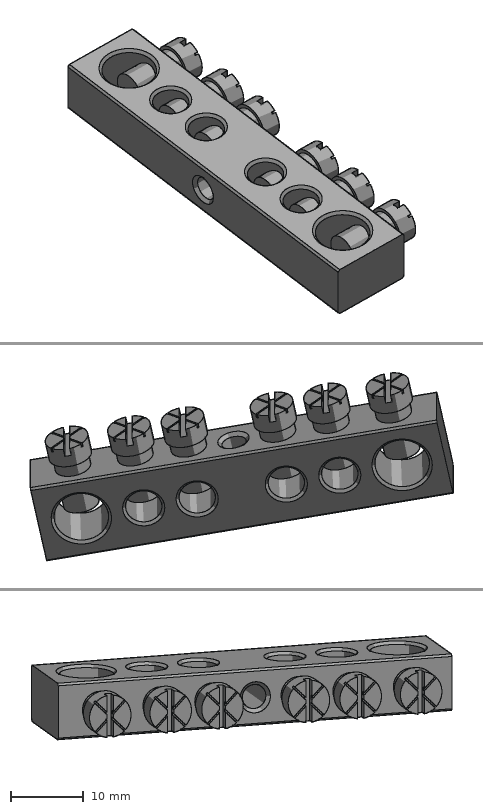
import cadquery as cq

block_length = 57.0
block_depth = 12.0
block_height = 8.0
block_edge_chamfer = 0.3

outer_wire_x = 22.5
middle_wire_x = 13.75
inner_wire_x = 6.25
large_wire_diameter = 7.5
small_wire_diameter = 5.0
wire_hole_chamfer = 0.4
large_wire_positions = [-outer_wire_x, outer_wire_x]
small_wire_positions = [-middle_wire_x, -inner_wire_x, inner_wire_x, middle_wire_x]

mounting_diameter = 3.4
mounting_chamfer = 0.5

screw_overhang = 4.7
screw_tip_y = 0.0
shank_diameter = 5.0
head_diameter = 6.0
head_height = 2.8
screw_top_y = block_depth / 2 + screw_overhang
head_base_y = screw_top_y - head_height

slot_width = 0.9
slot_depth = 1.1
groove_width = 0.25
groove_depth = 0.55
groove_angles = [-45, 45]


def cylinder_along_y(diameter, start_y, end_y):
    """Cylinder on the Y axis, from start_y to end_y."""
    return (
        cq.Workplane("XZ", origin=(0, start_y, 0))
        .circle(diameter / 2)
        .extrude(start_y - end_y)
    )


def countersunk_hole(diameter, length, chamfer):
    """Cutter along Z for a through hole that is chamfered at both ends."""
    bore_radius = diameter / 2
    mouth_radius = bore_radius + chamfer
    half_length = length / 2
    return (
        cq.Workplane("XZ")
        .moveTo(0, -half_length)
        .lineTo(mouth_radius, -half_length)
        .lineTo(bore_radius, -half_length + chamfer)
        .lineTo(bore_radius, half_length - chamfer)
        .lineTo(mouth_radius, half_length)
        .lineTo(0, half_length)
        .close()
        .revolve(360, (0, 0, 0), (0, 1, 0))
    )


def make_block():
    """Bar with wire holes, screw holes and the mounting hole."""
    block = cq.Workplane("XY").box(block_length, block_depth, block_height)
    block = block.edges("|X").chamfer(block_edge_chamfer)

    large_wire_hole = countersunk_hole(large_wire_diameter, block_height, wire_hole_chamfer)
    for x in large_wire_positions:
        block = block.cut(large_wire_hole.translate((x, 0, 0)))

    small_wire_hole = countersunk_hole(small_wire_diameter, block_height, wire_hole_chamfer)
    for x in small_wire_positions:
        block = block.cut(small_wire_hole.translate((x, 0, 0)))

    screw_hole = cylinder_along_y(shank_diameter, screw_tip_y, block_depth / 2)
    for x in large_wire_positions + small_wire_positions:
        block = block.cut(screw_hole.translate((x, 0, 0)))

    mounting_hole = countersunk_hole(mounting_diameter, block_depth, mounting_chamfer)
    return block.cut(mounting_hole.rotate((0, 0, 0), (1, 0, 0), 90))


def head_groove(width, depth):
    """Cutter for a groove along Z, across the whole end face of the screw head."""
    return (
        cq.Workplane("XY")
        .box(width, depth, 2 * head_diameter)
        .translate((0, screw_top_y - depth / 2, 0))
    )


def make_screw(x):
    """Clamping screw along Y, with its head behind the block."""
    shank = cylinder_along_y(shank_diameter, screw_tip_y, head_base_y)
    head = cylinder_along_y(head_diameter, head_base_y, screw_top_y)
    screw = shank.union(head).cut(head_groove(slot_width, slot_depth))
    for angle in groove_angles:
        groove = head_groove(groove_width, groove_depth)
        screw = screw.cut(groove.rotate((0, 0, 0), (0, 1, 0), angle))
    return screw.translate((x, 0, 0))


block = make_block()
screws = [make_screw(x) for x in large_wire_positions + small_wire_positions]

result = cq.Compound.makeCompound([block.solids().val(), *[screw.solids().val() for screw in screws]])